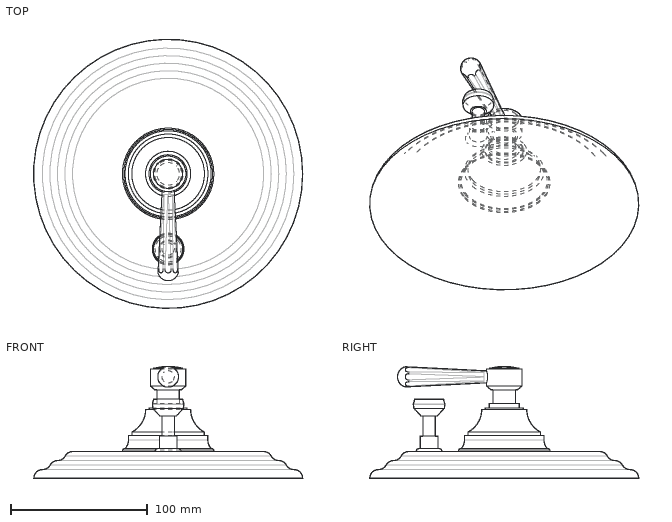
import cadquery as cq
import math

plate_radius = 98.5
plate_height = 19.7
rim_round = 6.5
face_radius = 69.9
tier_count = 2

flange_radius = 33.5
flange_height = 2.2
flange_lip = 1.0
flange_top_z = plate_height + flange_height
skirt_foot_radius = 31.5
skirt_radius = 29.1
skirt_flare_z = 28.0
skirt_top_z = 31.5
bell_foot_radius = 26.5
bell_foot_z = 33.9
bell_neck_radius = 16.5
bell_top_z = 50.4
cap_radius = 14.0
cap_top_z = 51.5
collar_radius = 11.0
collar_top_z = 54.7

stem_radius = 8.3
head_bottom_z = 64.8
head_foot_radius = 9.8
head_radius = 13.0
head_cone_top_z = 67.5
head_rim_z = 80.1
dome_radius = 10.6
dome_step = 0.4
top_z = 81.9

facet_count = 8
ball_radius = 7.7
lever_z = top_z - ball_radius
lever_tip = 78.1
ball_distance = lever_tip - ball_radius
lever_neck_radius = 4.5
lever_neck_end = 15.0
facet_depth = 0.33

knob_y = -55.0
knob_flange_radius = 9.5
knob_flange_round = flange_height
knob_collar_radius = 6.5
knob_collar_top_z = 31.0
knob_stem_radius = 4.5
knob_bottom_z = 45.5
knob_foot_radius = 6.0
knob_cone_radius = 11.2
knob_cone_top_z = 51.2
knob_radius = 11.6
knob_band_bottom_z = 54.0
knob_band_top_z = 54.5
knob_top_radius = 10.6
knob_top_z = 57.9


def revolve_about_z(profile):
    """Turn a closed half-section, drawn as (radius, height), about Z."""
    return profile.revolve(360, (0, 0, 0), (0, 1, 0))


def s_curve(profile, inner_radius, top_z, width, drop):
    """Add two equal tangent arcs, convex then concave, both level at their outer ends."""
    turn = 2 * math.atan2(drop, width)
    arc_radius = width / 2 / math.sin(turn)
    middle = (inner_radius + width / 2, top_z - drop / 2)
    end = (inner_radius + width, top_z - drop)
    return profile.radiusArc(middle, arc_radius).radiusArc(end, -arc_radius)


def flare(profile, foot_radius, foot_z, neck_radius, neck_z):
    """Add a concave arc from the foot up to the neck, where it runs vertical."""
    width = foot_radius - neck_radius
    height = neck_z - foot_z
    arc_radius = (width**2 + height**2) / (2 * width)
    return profile.radiusArc((neck_radius, neck_z), arc_radius)


def make_plate():
    tier_width = (plate_radius - rim_round - face_radius) / tier_count
    tier_drop = (plate_height - rim_round) / tier_count

    profile = cq.Workplane("XZ").lineTo(0, plate_height).lineTo(face_radius, plate_height)
    for tier in range(tier_count):
        inner_radius = face_radius + tier * tier_width
        profile = s_curve(profile, inner_radius, plate_height - tier * tier_drop, tier_width, tier_drop)
    profile = profile.radiusArc((plate_radius, 0), rim_round).close()
    return revolve_about_z(profile)


def make_escutcheon():
    profile = (
        cq.Workplane("XZ")
        .lineTo(flange_radius, 0)
        .lineTo(flange_radius, flange_top_z - flange_lip)
        .lineTo(flange_radius - flange_lip, flange_top_z)
        .lineTo(skirt_foot_radius, flange_top_z)
    )
    profile = flare(profile, skirt_foot_radius, flange_top_z, skirt_radius, skirt_flare_z)
    profile = (
        profile.lineTo(skirt_radius, skirt_top_z)
        .lineTo(bell_foot_radius, skirt_top_z)
        .lineTo(bell_foot_radius, bell_foot_z)
    )
    profile = flare(profile, bell_foot_radius, bell_foot_z, bell_neck_radius, bell_top_z)
    profile = (
        profile.lineTo(cap_radius, bell_top_z)
        .lineTo(cap_radius, cap_top_z)
        .lineTo(collar_radius, cap_top_z)
        .lineTo(collar_radius, collar_top_z)
        .lineTo(0, collar_top_z)
        .close()
    )
    return revolve_about_z(profile)


def make_head():
    dome_foot_z = head_rim_z + dome_step
    dome_rise = top_z - dome_foot_z
    sphere_radius = (dome_radius**2 + dome_rise**2) / (2 * dome_rise)
    profile = (
        cq.Workplane("XZ")
        .lineTo(stem_radius, 0)
        .lineTo(stem_radius, head_bottom_z)
        .lineTo(head_foot_radius, head_bottom_z)
        .lineTo(head_radius, head_cone_top_z)
        .lineTo(head_radius, head_rim_z)
        .lineTo(dome_radius, head_rim_z)
        .lineTo(dome_radius, dome_foot_z)
        .radiusArc((0, top_z), -sphere_radius)
        .close()
    )
    return revolve_about_z(profile)


def make_lever():
    bar_length = ball_distance - lever_neck_end
    facet_length = lever_tip - lever_neck_end
    facet_slope = (ball_radius - facet_depth - lever_neck_radius) / bar_length
    tip_flat = lever_neck_radius + facet_slope * facet_length

    bar_start = cq.Workplane("XZ", origin=(0, -lever_neck_end, lever_z))
    cone = bar_start.circle(lever_neck_radius).workplane(offset=bar_length).circle(ball_radius).loft()
    ball = cq.Workplane("XY").sphere(ball_radius).translate((0, -ball_distance, lever_z))

    pyramid = (
        bar_start.polygon(facet_count, 2 * lever_neck_radius, circumscribed=True)
        .workplane(offset=facet_length)
        .polygon(facet_count, 2 * tip_flat, circumscribed=True)
        .loft(ruled=True)
    )
    bar = cone.union(ball).intersect(pyramid)
    neck = cq.Workplane("XZ", origin=(0, 0, lever_z)).circle(lever_neck_radius).extrude(lever_neck_end)
    return bar.union(neck)


def make_knob():
    flange_inner_radius = knob_flange_radius - knob_flange_round
    profile = (
        cq.Workplane("XZ")
        .lineTo(knob_flange_radius, 0)
        .lineTo(knob_flange_radius, plate_height)
        .radiusArc((flange_inner_radius, plate_height + knob_flange_round), -knob_flange_round)
        .lineTo(knob_collar_radius, plate_height + knob_flange_round)
        .lineTo(knob_collar_radius, knob_collar_top_z)
        .lineTo(knob_stem_radius, knob_collar_top_z)
        .lineTo(knob_stem_radius, knob_bottom_z)
        .lineTo(knob_foot_radius, knob_bottom_z)
        .lineTo(knob_cone_radius, knob_cone_top_z)
        .lineTo(knob_radius, knob_band_bottom_z)
        .lineTo(knob_radius, knob_band_top_z)
        .lineTo(knob_top_radius, knob_top_z)
        .lineTo(0, knob_top_z)
        .close()
    )
    return revolve_about_z(profile).translate((0, knob_y, 0))


result = (
    make_plate()
    .union(make_escutcheon())
    .union(make_head())
    .union(make_lever())
    .union(make_knob())
)